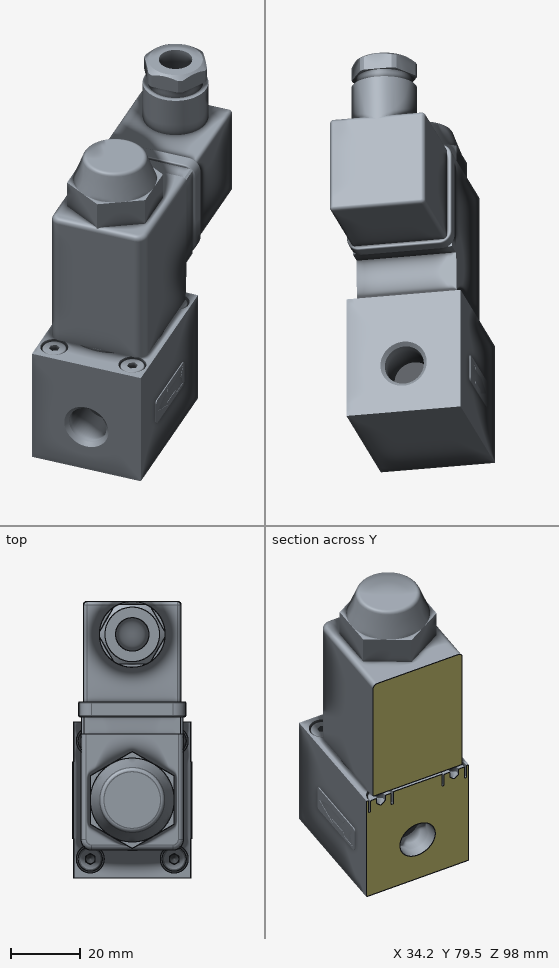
import cadquery as cq
import math


overall_width = 34.2
plate_thickness = 0.3
body_width = overall_width - 2 * plate_thickness
body_length = 44.9
body_height = 36.1

port_height = 14.7
port_diameter = 11.5
port_mouth_diameter = 13.6
port_depth = 13.7

plate_length = 22.05
plate_height = 8.0
plate_center_y = -0.1
plate_center_z = 16.6
plate_corner_radius = 1.0
arrow_depth = 0.1
arrow_tail_y = 9.9
arrow_notch_y = 8.3
arrow_feather_y = 4.9
arrow_shaft_start_y = 4.3
arrow_shaft_end_y = -2.45
arrow_barb_y = -2.1
arrow_tip_y = -10.1
arrow_half_height = 3.0
arrow_shaft_half_height = 1.9

screw_spacing_x = 24.1
screw_spacing_y = 33.9
counterbore_diameter = 8.0
counterbore_depth = 4.5
screw_head_diameter = 7.0
screw_head_drop = 0.3
screw_edge_fillet = 0.4
screw_socket_flats = 2.7
screw_socket_depth = 2.0
screw_socket_tip_depth = 1.4

seat_diameter = 29.0
coil_bottom = 36.8

coil_top = 78.9
coil_width = 29.4
coil_front_y = -14.4
coil_back_y = 18.9
coil_back_taper = 0.9
coil_corner_radius = 3.0
coil_top_fillet = 1.5

neck_width = 29.2
neck_top = 78.5
neck_bottom = 49.2
neck_chamfer_width = 0.7
neck_chamfer_height = 0.4

gasket_front_y = 23.9
gasket_back_y = 28.2
gasket_width = 30.8
gasket_height = 30.6
gasket_center_z = 64.0
gasket_corner_radius = 3.6
gasket_edge_fillet = 0.4

connector_width = 28.1
connector_bottom = 49.9
connector_top = 78.1
connector_back_y = 57.0
connector_fillet = 1.1

gland_diameter = 18.9
gland_y = connector_back_y - gland_diameter / 2
gland_top = 90.1
gland_neck_diameter = 16.0
gland_nut_bottom = 92.9
gland_nut_top = 98.0
gland_nut_flats = 17.1
gland_nut_face_diameter = 15.7
gland_nut_chamfer_height = 1.1
cable_hole_diameter = 9.6

coil_nut_flats = 24.1
coil_nut_top = 87.1
cap_top = 95.1
cap_base_diameter = 24.1
cap_top_diameter = 18.0
cap_fillet = 1.3


def block(width, y_min, y_max, z_min, z_max):
    """Box centred on X = 0."""
    return cq.Workplane("XY").box(
        width, y_max - y_min, z_max - z_min, centered=(True, False, False)
    ).translate((0, y_min, z_min))


def cylinder(diameter, z_min, z_max, y=0):
    """Upright cylinder on X = 0."""
    return cq.Workplane("XY", origin=(0, y, z_min)).circle(diameter / 2).extrude(z_max - z_min)


def hexagon(flats, z_min, z_max, y=0, corner_angle=0):
    """Upright hexagonal prism on X = 0; corner_angle is the direction of one corner from +X."""
    prism = cq.Workplane("XY").polygon(6, flats / math.cos(math.pi / 6)).extrude(z_max - z_min)
    return prism.rotate((0, 0, 0), (0, 0, 1), corner_angle).translate((0, y, z_min))


def port():
    """Countersunk blind port, cut inwards from the -Y end of the body."""
    mouth_depth = (port_mouth_diameter - port_diameter) / 2
    profile = [
        (0, 0),
        (port_mouth_diameter / 2, 0),
        (port_diameter / 2, mouth_depth),
        (port_diameter / 2, port_depth),
        (0, port_depth),
    ]
    cutter = cq.Workplane("XY").polyline(profile).close().revolve(360, (0, 0), (0, 1))
    return cutter.translate((0, -body_length / 2, port_height))


def arrow_plate():
    """Raised plate with an engraved arrow on the -X side of the body."""
    plate = (
        cq.Workplane("YZ", origin=(-overall_width / 2, plate_center_y, plate_center_z))
        .rect(plate_length, plate_height)
        .extrude(plate_thickness)
        .edges("|X")
        .fillet(plate_corner_radius)
    )
    upper_half = [
        (arrow_tail_y, arrow_half_height),
        (arrow_feather_y, arrow_half_height),
        (arrow_shaft_start_y, arrow_shaft_half_height),
        (arrow_shaft_end_y, arrow_shaft_half_height),
        (arrow_barb_y, arrow_half_height),
    ]
    lower_half = [(y, -z) for y, z in reversed(upper_half)]
    outline = [(arrow_notch_y, 0), *upper_half, (arrow_tip_y, 0), *lower_half]
    arrow = (
        cq.Workplane("YZ", origin=(-overall_width / 2, 0, plate_center_z))
        .polyline(outline)
        .close()
        .extrude(arrow_depth)
    )
    return plate.cut(arrow)


def screw():
    """Screw head with a pointed hexagon socket, standing on the floor of its counterbore."""
    head_top = body_height - screw_head_drop
    head = cylinder(screw_head_diameter, body_height - counterbore_depth, head_top)
    head = head.faces(">Z").edges().fillet(screw_edge_fillet)
    socket_floor = head_top - screw_socket_depth
    socket = hexagon(screw_socket_flats, socket_floor, head_top, corner_angle=90)
    tip_radius = screw_socket_flats / 2
    floor_center = cq.Vector(0, 0, socket_floor)
    tip = cq.Solid.makeCone(tip_radius, 0, screw_socket_tip_depth, floor_center, cq.Vector(0, 0, -1))
    return head.cut(socket).cut(cq.Workplane(tip))


def valve_body():
    body = block(body_width, -body_length / 2, body_length / 2, 0, body_height)
    body = body.cut(port()).cut(port().mirror("XZ"))
    body = body.union(arrow_plate()).union(arrow_plate().mirror("YZ"))
    bore = cylinder(counterbore_diameter, body_height - counterbore_depth, body_height)
    for x in (-screw_spacing_x / 2, screw_spacing_x / 2):
        for y in (-screw_spacing_y / 2, screw_spacing_y / 2):
            body = body.cut(bore.translate((x, y, 0))).union(screw().translate((x, y, 0)))
    return body


def coil_housing():
    """Rounded housing whose back face leans inwards below the neck."""
    side = [
        (coil_front_y, coil_bottom),
        (coil_back_y - coil_back_taper, coil_bottom),
        (coil_back_y, neck_bottom),
        (coil_back_y, coil_top),
        (coil_front_y, coil_top),
    ]
    housing = cq.Workplane("YZ").polyline(side).close().extrude(coil_width / 2, both=True)
    housing = housing.edges("|Z and <Y").fillet(coil_corner_radius)
    return housing.faces(">Z").edges("not >Y").fillet(coil_top_fillet)


def neck():
    half_width = neck_width / 2
    section = [
        (-half_width, neck_bottom),
        (half_width, neck_bottom),
        (half_width, neck_top - neck_chamfer_height),
        (half_width - neck_chamfer_width, neck_top),
        (-half_width + neck_chamfer_width, neck_top),
        (-half_width, neck_top - neck_chamfer_height),
    ]
    bar = cq.Workplane("XZ").polyline(section).close().extrude(coil_back_y - gasket_front_y)
    return bar.translate((0, coil_back_y, 0))


def gasket():
    bottom = gasket_center_z - gasket_height / 2
    slab = block(gasket_width, gasket_front_y, gasket_back_y, bottom, bottom + gasket_height)
    slab = slab.edges("|Y").fillet(gasket_corner_radius)
    return slab.faces("<Y or >Y").edges().fillet(gasket_edge_fillet)


def connector():
    box = block(connector_width, gasket_back_y, connector_back_y, connector_bottom, connector_top)
    return box.edges("not <Y").fillet(connector_fillet)


def gland():
    """Cable gland with a hexagon nut, its corners turned to a cylinder and its top chamfered."""
    sleeve = cylinder(gland_diameter, connector_top - connector_fillet, gland_top, gland_y)
    shank = cylinder(gland_neck_diameter, gland_top, gland_nut_bottom, gland_y)
    nut = hexagon(gland_nut_flats, gland_nut_bottom, gland_nut_top, gland_y)
    turned_profile = [
        (0, gland_nut_bottom),
        (gland_diameter / 2, gland_nut_bottom),
        (gland_diameter / 2, gland_nut_top - gland_nut_chamfer_height),
        (gland_nut_face_diameter / 2, gland_nut_top),
        (0, gland_nut_top),
    ]
    turned = cq.Workplane("XZ").polyline(turned_profile).close().revolve(360, (0, 0), (0, 1))
    nut = nut.intersect(turned.translate((0, gland_y, 0)))
    hole = cylinder(cable_hole_diameter, gland_top, gland_nut_top, gland_y)
    return sleeve.union(shank).union(nut).cut(hole)


def coil_nut():
    """Hexagon nut with a conical cap."""
    nut = hexagon(coil_nut_flats, coil_top - coil_top_fillet, coil_nut_top, corner_angle=90)
    cap_profile = [
        (0, coil_nut_top),
        (cap_base_diameter / 2, coil_nut_top),
        (cap_top_diameter / 2, cap_top),
        (0, cap_top),
    ]
    cap = cq.Workplane("XZ").polyline(cap_profile).close().revolve(360, (0, 0), (0, 1))
    cap = cap.faces(">Z").edges().fillet(cap_fillet)
    return nut.union(cap)


result = valve_body()
result = result.union(cylinder(seat_diameter, body_height, coil_bottom))
for component in (coil_housing(), neck(), gasket(), connector(), gland(), coil_nut()):
    result = result.union(component)